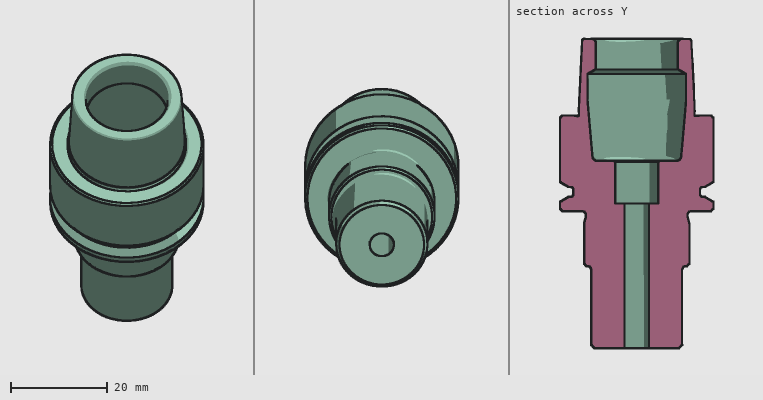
import cadquery as cq
import math

total_height = 64.5
taper_length = 16.0
flange_height = 20.0
flange_top = total_height - taper_length
flange_bottom = flange_top - flange_height
collar_bottom = 17.1

flange_radius = 32.0 / 2
flange_top_chamfer = 0.45
flange_bottom_chamfer = 0.5
groove_floor_radius = 26.5 / 2
groove_centre = 32.6
groove_mouth_width = 4.05
groove_inner_width = 2.0
groove_wall_angle = math.radians(30)
groove_fillet = 0.5

taper_tip_radius = 11.4
taper_base_radius = 12.1
taper_tip_fillet = 0.5
taper_end = 49.4
neck_radius = 24.1 / 2
neck_top = 49.2
neck_bottom = 48.75
relief_inner_radius = 12.4
relief_outer_radius = 12.95
relief_depth = 0.1

throat_radius = 21.3 / 2
throat_fillet = 0.7
throat_height = 0.4
collar_radius = 22.0 / 2
collar_cone_length = 1.35
collar_chamfer = 0.5
spigot_radius = 19.0 / 2
spigot_fillet = 0.8
spigot_chamfer = 0.7

mouth_fillet = 0.95
clamp_radius = 17.0 / 2
clamp_lip_depth = 6.4
undercut_radius = 20.5 / 2
undercut_depth = 12.7
undercut_lip_angle = math.radians(30)
chamber_taper_angle = math.radians(5)
chamber_floor_radius = 8.25
chamber_floor_fillet = 0.95
pocket_radius = 8.9 / 2
pocket_depth = 8.9
pocket_chamfer = 0.25
through_radius = 5.0 / 2


def flange_groove(profile):
    """Append the groove outline, from its upper mouth edge to its lower one."""
    half_mouth = groove_mouth_width / 2
    half_inner = groove_inner_width / 2
    wall_foot = flange_radius - (half_mouth - half_inner) / math.tan(groove_wall_angle)
    fillet_start = groove_floor_radius + groove_fillet
    half_floor = half_inner - groove_fillet
    return (
        profile.lineTo(flange_radius, groove_centre + half_mouth)
        .lineTo(wall_foot, groove_centre + half_inner)
        .lineTo(fillet_start, groove_centre + half_inner)
        .radiusArc((groove_floor_radius, groove_centre + half_floor), -groove_fillet)
        .lineTo(groove_floor_radius, groove_centre - half_floor)
        .radiusArc((fillet_start, groove_centre - half_inner), -groove_fillet)
        .lineTo(wall_foot, groove_centre - half_inner)
        .lineTo(flange_radius, groove_centre - half_mouth)
    )


def outer_body():
    """Solid of revolution bounded by the outside of the part, without the bore."""
    throat_top = flange_bottom - throat_fillet
    cone_top = throat_top - throat_height
    profile = (
        cq.Workplane("XZ")
        .moveTo(0, total_height)
        .lineTo(taper_tip_radius - taper_tip_fillet, total_height)
        .radiusArc((taper_tip_radius, total_height - taper_tip_fillet), taper_tip_fillet)
        .lineTo(taper_base_radius, taper_end)
        .lineTo(neck_radius, neck_top)
        .lineTo(neck_radius, neck_bottom)
        .tangentArcPoint((relief_inner_radius, flange_top - relief_depth), relative=False)
        .lineTo(relief_outer_radius, flange_top)
        .lineTo(flange_radius - flange_top_chamfer, flange_top)
        .lineTo(flange_radius, flange_top - flange_top_chamfer)
    )
    profile = flange_groove(profile)
    profile = (
        profile.lineTo(flange_radius, flange_bottom + flange_bottom_chamfer)
        .lineTo(flange_radius - flange_bottom_chamfer, flange_bottom)
        .lineTo(throat_radius + throat_fillet, flange_bottom)
        .radiusArc((throat_radius, throat_top), -throat_fillet)
        .lineTo(throat_radius, cone_top)
        .lineTo(collar_radius, cone_top - collar_cone_length)
        .lineTo(collar_radius, collar_bottom + collar_chamfer)
        .lineTo(collar_radius - collar_chamfer, collar_bottom)
        .lineTo(spigot_radius + spigot_fillet, collar_bottom)
        .radiusArc((spigot_radius, collar_bottom - spigot_fillet), -spigot_fillet)
        .lineTo(spigot_radius, spigot_chamfer)
        .lineTo(spigot_radius - spigot_chamfer, 0)
        .lineTo(0, 0)
        .close()
    )
    return profile.revolve(360, (0, 0, 0), (0, 1, 0))


def bore():
    """Solid of revolution that fills the bore, from the taper tip to the bottom face."""
    lip_bottom = total_height - clamp_lip_depth
    lip_slope_height = (undercut_radius - clamp_radius) * math.tan(undercut_lip_angle)
    undercut_bottom = total_height - undercut_depth

    corner_half_angle = (math.pi / 2 + chamber_taper_angle) / 2
    fillet_run = chamber_floor_fillet / math.tan(corner_half_angle)
    corner_radius = chamber_floor_radius + fillet_run
    floor = undercut_bottom - (undercut_radius - corner_radius) / math.tan(chamber_taper_angle)
    wall_fillet_end = (
        corner_radius + fillet_run * math.sin(chamber_taper_angle),
        floor + fillet_run * math.cos(chamber_taper_angle),
    )
    pocket_floor = floor - pocket_depth

    profile = (
        cq.Workplane("XZ")
        .moveTo(0, total_height)
        .lineTo(clamp_radius + mouth_fillet, total_height)
        .radiusArc((clamp_radius, total_height - mouth_fillet), -mouth_fillet)
        .lineTo(clamp_radius, lip_bottom)
        .lineTo(undercut_radius, lip_bottom - lip_slope_height)
        .lineTo(undercut_radius, undercut_bottom)
        .lineTo(*wall_fillet_end)
        .radiusArc((chamber_floor_radius, floor), chamber_floor_fillet)
        .lineTo(pocket_radius + pocket_chamfer, floor)
        .lineTo(pocket_radius, floor - pocket_chamfer)
        .lineTo(pocket_radius, pocket_floor)
        .lineTo(through_radius, pocket_floor)
        .lineTo(through_radius, 0)
        .lineTo(0, 0)
        .close()
    )
    return profile.revolve(360, (0, 0, 0), (0, 1, 0))


result = outer_body().cut(bore())